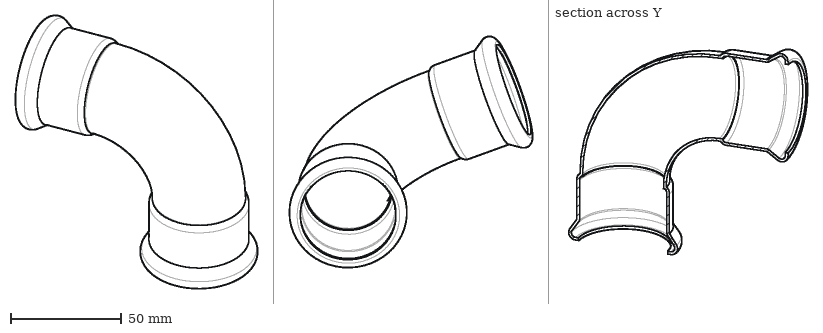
import cadquery as cq
import math

overall = 107.0
rim_radius = 26.7
wall = 1.55

tube_radius = 42.3 / 2
tube_bore_radius = tube_radius - wall

socket_radius = 45.4 / 2
socket_bore_radius = socket_radius - wall
mouth_radius = 43.3 / 2
bead_radius = 3.4
flare_end_depth = 10.4
shoulder_start_depth = 30.1
shoulder_end_depth = 33.0
neck_length = 0.5
socket_depth = shoulder_end_depth + neck_length
pipe_stop_radius = 20.0

axis_offset = overall - rim_radius
bend_radius = axis_offset - socket_depth

bead_depth = bead_radius
bead_center_radius = rim_radius - bead_radius
flare_run = flare_end_depth - bead_depth
flare_drop = bead_center_radius - socket_radius
flare_distance = math.hypot(flare_run, flare_drop)
flare_normal = math.acos(bead_radius / flare_distance) - math.atan2(flare_drop, flare_run)

groove_radius = bead_radius - wall

shoulder_length = shoulder_end_depth - shoulder_start_depth
shoulder_drop = socket_radius - tube_radius
shoulder_radius = (shoulder_length**2 + shoulder_drop**2) / (2 * shoulder_drop)
inner_shoulder_radius = shoulder_radius - wall
inner_shoulder_drop = socket_bore_radius - pipe_stop_radius
pipe_stop_depth = shoulder_start_depth + math.sqrt(
    inner_shoulder_radius**2 - (inner_shoulder_radius - inner_shoulder_drop) ** 2
)


def polar_point(center, radius, angle):
    """Point (distance from axis, depth) on a circle, with the angle measured from the depth direction."""
    return (
        center[0] + radius * math.sin(angle),
        center[1] + radius * math.cos(angle),
    )


def socket():
    """Hollow press socket along +Z, with its mouth on the XY plane."""
    crown = math.pi / 2
    bead_center = (bead_center_radius, bead_depth)
    shoulder_center = (socket_radius - shoulder_radius, shoulder_start_depth)
    stop_angle = math.asin(1 - inner_shoulder_drop / inner_shoulder_radius)
    flare_corner = (socket_radius, flare_end_depth)
    return (
        cq.Workplane("XZ")
        .moveTo(mouth_radius, 0)
        .lineTo(bead_center_radius, 0)
        .threePointArc(
            polar_point(bead_center, bead_radius, crown),
            polar_point(bead_center, bead_radius, flare_normal),
        )
        .lineTo(*flare_corner)
        .lineTo(socket_radius, shoulder_start_depth)
        .tangentArcPoint((tube_radius, shoulder_end_depth), relative=False)
        .lineTo(tube_radius, socket_depth)
        .lineTo(tube_bore_radius, socket_depth)
        .lineTo(tube_bore_radius, pipe_stop_depth)
        .lineTo(pipe_stop_radius, pipe_stop_depth)
        .threePointArc(
            polar_point(shoulder_center, inner_shoulder_radius, stop_angle / 2 + crown / 2),
            (socket_bore_radius, shoulder_start_depth),
        )
        .lineTo(socket_bore_radius, flare_end_depth)
        .threePointArc(
            polar_point(flare_corner, -wall, (crown + flare_normal) / 2),
            polar_point(flare_corner, -wall, flare_normal),
        )
        .lineTo(*polar_point(bead_center, groove_radius, flare_normal))
        .threePointArc(polar_point(bead_center, groove_radius, crown), (bead_center_radius, wall))
        .lineTo(mouth_radius, wall)
        .close()
        .revolve(360, (0, 0), (0, 1))
    )


def bend():
    """Quarter-turn tube starting on the YZ plane along +X and turning down to -Z."""
    return (
        cq.Workplane("YZ")
        .circle(tube_radius)
        .circle(tube_bore_radius)
        .revolve(90, (0, -bend_radius), (1, -bend_radius))
    )


lower_socket = socket().translate((axis_offset, 0, 0))
side_socket = socket().rotate((0, 0, 0), (0, 1, 0), 90).translate((0, 0, axis_offset))
elbow = bend().translate((socket_depth, 0, axis_offset))

result = elbow.union(lower_socket).union(side_socket)